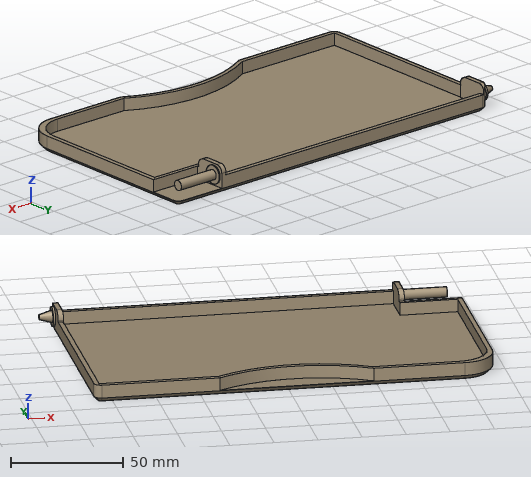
import cadquery as cq
import math

PIVOT_REACH = 6.6
OVERALL_LENGTH = 189.7
LENGTH = OVERALL_LENGTH - PIVOT_REACH
WIDTH = 104.0
RIM_HEIGHT = 8.2
WALL = 2.3
FLOOR = 2.3
BOTTOM_CHAMFER = 2.0
SMALL_RADIUS = 3.2
LARGE_RADIUS = 15.2

RECESS_WIDTH = 69.8
RECESS_DEPTH = 9.5
RECESS_RADIUS = ((RECESS_WIDTH / 2) ** 2 + RECESS_DEPTH**2) / (2 * RECESS_DEPTH)
RECESS_CENTER_Y = RECESS_DEPTH - RECESS_RADIUS

TAB_HEIGHT = 12.7
TAB_WIDTH = 16.0
TAB_THICKNESS = 2.5
TAB_FRONT_RADIUS = 3.8
TAB_FRONT = WIDTH - TAB_WIDTH
POCKET_TAB_X = 154.6
POCKET_WALL = 1.9
POCKET_DEPTH = 16.5
POCKET_FRONT = WIDTH - POCKET_DEPTH

AXIS_INSET = 5.5
AXIS_Y = WIDTH - AXIS_INSET
AXIS_Z = 7.4
COLLAR_DIAMETER = 9.0
COLLAR_THICKNESS = 1.0
POCKET_COLLAR_THICKNESS = 0.5
PIN_DIAMETER = 4.7
PIN_END_X = 178.1
CONE_BASE_DIAMETER = 5.7
CONE_TIP_DIAMETER = 2.3


def block(x0, x1, y0, y1, z0, z1):
    """Box between opposite corners."""
    return cq.Workplane("XY").box(x1 - x0, y1 - y0, z1 - z0, centered=False).translate((x0, y0, z0))


def rounded_blank(height):
    """Solid plate with the plan outline of the tray."""
    plate = block(0, LENGTH, 0, WIDTH, 0, height)
    plate = plate.edges("|Z and >X and <Y").fillet(LARGE_RADIUS)
    plate = plate.edges(cq.selectors.BoxSelector((-1.9, -1.9, -1.9), (1.9, WIDTH + 1.9, height + 1.9))).edges("|Z")
    plate = plate.fillet(SMALL_RADIUS)
    plate = plate.edges("|Z and >X and >Y").fillet(SMALL_RADIUS)
    return plate.faces("<Z").chamfer(BOTTOM_CHAMFER)


def recess_cylinder(center_y):
    """Vertical cylinder with the finger recess radius, from the floor to the rim."""
    return (
        cq.Workplane("XY", origin=(LENGTH / 2, center_y, FLOOR))
        .circle(RECESS_RADIUS)
        .extrude(RIM_HEIGHT - FLOOR)
    )


def tray_cavity():
    """Space inside the walls, leaving the recess wall and the pocket walls standing."""
    cavity = block(WALL, LENGTH - WALL, WALL, WIDTH - WALL, FLOOR, RIM_HEIGHT)
    cavity = cavity.edges("|Z and >X and <Y").fillet(LARGE_RADIUS)
    corner = block(POCKET_TAB_X, LENGTH, POCKET_FRONT - POCKET_WALL, WIDTH, FLOOR, RIM_HEIGHT)
    return cavity.cut(corner).cut(recess_cylinder(RECESS_CENTER_Y + WALL))


def tab(x):
    """Upright hinge tab with both top corners rounded."""
    plate = block(x, x + TAB_THICKNESS, TAB_FRONT, WIDTH, FLOOR, TAB_HEIGHT)
    plate = plate.edges("|X and >Z and <Y").fillet(TAB_FRONT_RADIUS)
    return plate.edges("|X and >Z and >Y").fillet(SMALL_RADIUS)


def hinge_cylinder(x, length, diameter):
    """Cylinder on the hinge axis, running toward +X from x."""
    return cq.Workplane("YZ", origin=(x, AXIS_Y, AXIS_Z)).circle(diameter / 2).extrude(length)


def conical_pivot():
    """Tapered pivot pointing toward -X from its collar."""
    cone_length = PIVOT_REACH - COLLAR_THICKNESS
    half_angle = math.degrees(math.atan((CONE_BASE_DIAMETER - CONE_TIP_DIAMETER) / 2 / cone_length))
    cone = (
        cq.Workplane("YZ", origin=(-COLLAR_THICKNESS, AXIS_Y, AXIS_Z))
        .circle(CONE_BASE_DIAMETER / 2)
        .extrude(-cone_length, taper=half_angle)
    )
    collar = hinge_cylinder(-COLLAR_THICKNESS, COLLAR_THICKNESS, COLLAR_DIAMETER)
    return cone.union(collar)


pocket_x = POCKET_TAB_X + TAB_THICKNESS
pocket = block(pocket_x, LENGTH, POCKET_FRONT, WIDTH, FLOOR, RIM_HEIGHT)
tray = rounded_blank(RIM_HEIGHT).cut(tray_cavity()).cut(recess_cylinder(RECESS_CENTER_Y)).cut(pocket)

left_tab = tab(0).intersect(rounded_blank(TAB_HEIGHT))

pocket_collar = hinge_cylinder(pocket_x, POCKET_COLLAR_THICKNESS, COLLAR_DIAMETER)
pocket_pin = hinge_cylinder(pocket_x, PIN_END_X - pocket_x, PIN_DIAMETER)

result = tray.union(left_tab).union(tab(POCKET_TAB_X))
result = result.union(conical_pivot()).union(pocket_collar).union(pocket_pin)